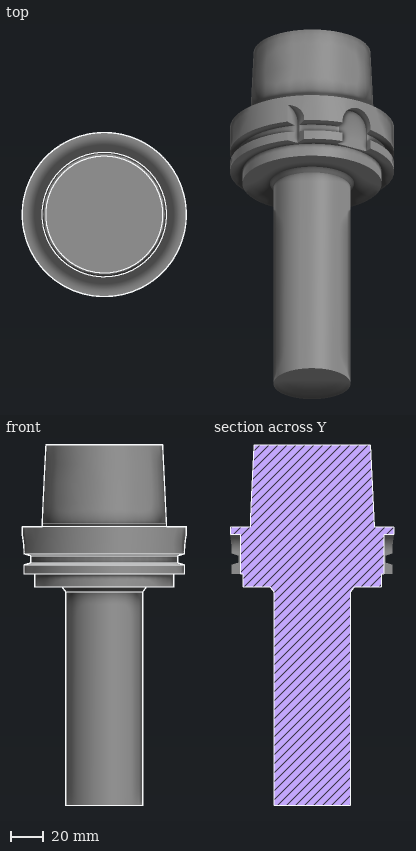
import cadquery as cq

total_height = 220.0
neck_bottom = 130.2
hub_bottom = 133.0
flange_bottom = 141.0
flange_top = 170.0
collar_top = 172.0

shank_diameter = 47.0
neck_diameter = 51.5
hub_diameter = 85.0
flange_diameter = 100.0
groove_diameter = 92.0
collar_diameter = 76.0
head_top_diameter = 71.3

groove_center = 150.0
groove_mouth = 6.8
groove_floor = 4.2

slot_width = 20.5
slot_top = 165.0
key_floor_offset = 44.0
side_floor_offset = 31.5
side_slot_y = 41.8


def make_body():
    """Revolve the shank, hub, flange and tapered head about Z."""
    shank_r = shank_diameter / 2
    neck_r = neck_diameter / 2
    hub_r = hub_diameter / 2
    flange_r = flange_diameter / 2
    collar_r = collar_diameter / 2
    return (
        cq.Workplane("XZ")
        .moveTo(0, 0)
        .lineTo(shank_r, 0)
        .lineTo(shank_r, neck_bottom)
        .lineTo(neck_r, hub_bottom)
        .lineTo(hub_r, hub_bottom)
        .lineTo(hub_r, flange_bottom)
        .lineTo(flange_r, flange_bottom)
        .lineTo(flange_r, flange_top)
        .lineTo(collar_r, flange_top)
        .lineTo(collar_r, collar_top)
        .lineTo(head_top_diameter / 2, total_height)
        .lineTo(0, total_height)
        .close()
        .revolve(360, (0, 0, 0), (0, 1, 0))
    )


def make_groove():
    """Ring that cuts the V-sided groove into the flange rim."""
    floor_r = groove_diameter / 2
    rim_r = flange_diameter / 2
    return (
        cq.Workplane("XZ")
        .moveTo(floor_r, groove_center - groove_floor / 2)
        .lineTo(rim_r, groove_center - groove_mouth / 2)
        .lineTo(rim_r, groove_center + groove_mouth / 2)
        .lineTo(floor_r, groove_center + groove_floor / 2)
        .close()
        .revolve(360, (0, 0, 0), (0, 1, 0))
    )


def make_slot(center_y, floor_offset):
    """Round-topped cutter running outward along +X from its flat floor."""
    half_width = slot_width / 2
    arch_start = slot_top - half_width
    return (
        cq.Workplane("YZ", origin=(floor_offset, 0, 0))
        .moveTo(center_y - half_width, flange_bottom)
        .lineTo(center_y + half_width, flange_bottom)
        .lineTo(center_y + half_width, arch_start)
        .threePointArc((center_y, slot_top), (center_y - half_width, arch_start))
        .close()
        .extrude(flange_diameter / 2)
    )


result = make_body().cut(make_groove())

key_slot = make_slot(0, key_floor_offset)
result = result.cut(key_slot).cut(key_slot.mirror("YZ"))

result = result.cut(make_slot(side_slot_y, side_floor_offset).mirror("YZ"))